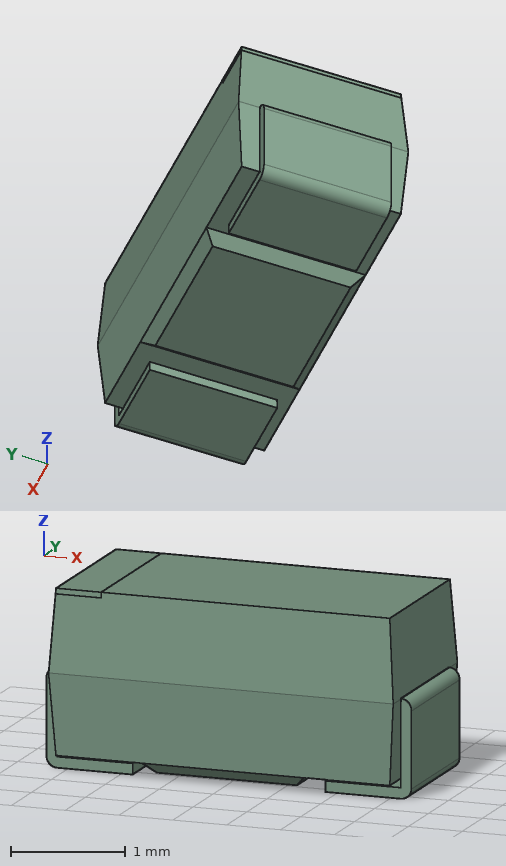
import cadquery as cq

overall_length = 3.39
total_height = 1.65
parting_height = 0.90
case_bottom = 0.15

case_length = 3.20
case_width = 1.60
taper_inset = 0.05
end_length = case_length - 2 * taper_inset
end_width = case_width - 2 * taper_inset

pad_size = 1.50
pad_height = 0.10
pad_inset = 0.10

band_length = 0.42
band_thickness = 0.05

lead_thickness = 0.10
lead_width = 1.20
lead_foot_length = 0.80
lead_bend_radius = lead_thickness


def frustum(start_z, end_z, start_size, end_size):
    """Solid between two centred rectangles at different heights."""
    return (
        cq.Workplane("XY")
        .workplane(offset=start_z)
        .rect(*start_size)
        .workplane(offset=end_z - start_z)
        .rect(*end_size)
        .loft(ruled=True)
    )


def make_case_blank():
    """Case with its pad, before the band and the leads are let in."""
    parting_size = (case_length, case_width)
    end_size = (end_length, end_width)
    upper = frustum(parting_height, total_height, parting_size, end_size)
    lower = frustum(parting_height, case_bottom, parting_size, end_size)

    pad_tip = pad_size - 2 * pad_inset
    pad = frustum(case_bottom, case_bottom - pad_height, (pad_size, pad_size), (pad_tip, pad_tip))
    return upper.union(lower).union(pad)


def make_band_pocket():
    """Block that covers the top corner of the case at its -X end."""
    band_end = -end_length / 2 + band_length
    pocket_length = band_end + case_length / 2
    return (
        cq.Workplane("XY")
        .box(pocket_length, case_width, band_thickness, centered=(False, True, False))
        .translate((-case_length / 2, 0, total_height - band_thickness))
    )


def make_lead(side):
    """L-shaped strip with rounded outer corners; side is -1 for -X and +1 for +X."""
    outer_x = side * overall_length / 2
    inner_x = outer_x - side * lead_thickness
    foot_x = outer_x - side * lead_foot_length
    bend_x = outer_x - side * lead_bend_radius
    upper_bend_z = parting_height - lead_bend_radius

    return (
        cq.Workplane("XZ")
        .moveTo(foot_x, 0)
        .lineTo(bend_x, 0)
        .tangentArcPoint((outer_x, lead_bend_radius), relative=False)
        .lineTo(outer_x, upper_bend_z)
        .tangentArcPoint((bend_x, parting_height), relative=False)
        .lineTo(inner_x, lead_thickness)
        .lineTo(foot_x, lead_thickness)
        .close()
        .extrude(lead_width / 2, both=True)
    )


case_blank = make_case_blank()
band_pocket = make_band_pocket()
leads = [make_lead(side) for side in (-1, 1)]

band = case_blank.intersect(band_pocket)
case = case_blank.cut(band_pocket)

for lead in leads:
    case = case.cut(lead)

bodies = [case, band, *leads]
result = cq.Compound.makeCompound([body.solids().val() for body in bodies])